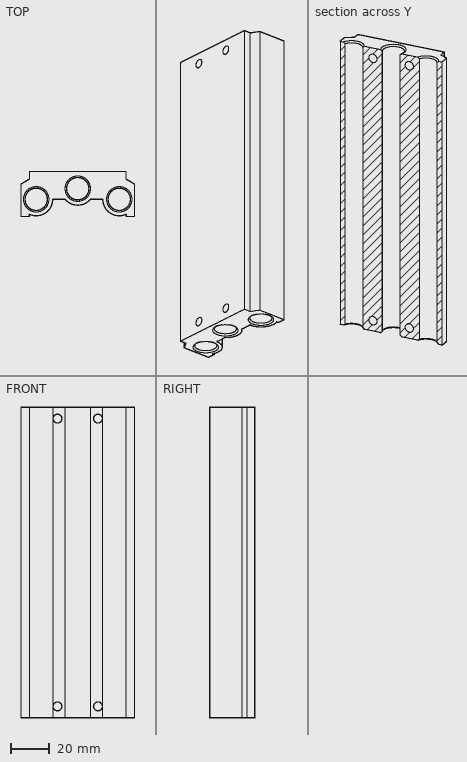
import cadquery as cq
import math

WIDTH = 59.0
DEPTH = 23.5
LENGTH = 161.0

BACK_WIDTH = 50.0
BACK_STEP_DEPTH = 4.0
SLOPE_DEPTH = 2.6
WEB_THICKNESS = 14.5
FOOT_WIDTH = 4.5

BORE_DIAMETER = 11.45
BORE_MOUTH_DIAMETER = 13.16
BORE_SPACING = 21.5
SIDE_BORE_FROM_BACK = 14.5
MIDDLE_BORE_FROM_BACK = 9.0
WALL_RADIUS = 8.6

MOUNT_DIAMETER = 4.5
MOUNT_SPACING = 21.0
MOUNT_FROM_END = 6.0

BACK_Y = DEPTH / 2
FRONT_Y = -DEPTH / 2
WEB_Y = BACK_Y - WEB_THICKNESS
SIDE_BORE_Y = BACK_Y - SIDE_BORE_FROM_BACK
MIDDLE_BORE_Y = BACK_Y - MIDDLE_BORE_FROM_BACK
BORE_CENTERS = [
    (-BORE_SPACING, SIDE_BORE_Y),
    (0, MIDDLE_BORE_Y),
    (BORE_SPACING, SIDE_BORE_Y),
]


def make_body():
    """Extruded section: web, two feet and three round bore walls."""
    half_width = WIDTH / 2
    half_back = BACK_WIDTH / 2
    step_y = BACK_Y - BACK_STEP_DEPTH
    slope_y = step_y - SLOPE_DEPTH
    foot_x = half_width - FOOT_WIDTH
    foot_top_y = SIDE_BORE_Y - math.sqrt(WALL_RADIUS**2 - (foot_x - BORE_SPACING) ** 2)
    side_web_x = BORE_SPACING - math.sqrt(WALL_RADIUS**2 - (SIDE_BORE_Y - WEB_Y) ** 2)
    middle_web_x = math.sqrt(WALL_RADIUS**2 - (MIDDLE_BORE_Y - WEB_Y) ** 2)
    diagonal = WALL_RADIUS * math.sqrt(0.5)
    side_mid = (BORE_SPACING - diagonal, SIDE_BORE_Y - diagonal)
    return (
        cq.Workplane("XY")
        .moveTo(-half_back, BACK_Y)
        .lineTo(half_back, BACK_Y)
        .lineTo(half_back, step_y)
        .lineTo(half_width, slope_y)
        .lineTo(half_width, FRONT_Y)
        .lineTo(foot_x, FRONT_Y)
        .lineTo(foot_x, foot_top_y)
        .threePointArc(side_mid, (side_web_x, WEB_Y))
        .lineTo(middle_web_x, WEB_Y)
        .threePointArc((0, MIDDLE_BORE_Y - WALL_RADIUS), (-middle_web_x, WEB_Y))
        .lineTo(-side_web_x, WEB_Y)
        .threePointArc((-side_mid[0], side_mid[1]), (-foot_x, foot_top_y))
        .lineTo(-foot_x, FRONT_Y)
        .lineTo(-half_width, FRONT_Y)
        .lineTo(-half_width, slope_y)
        .lineTo(-half_back, step_y)
        .close()
        .extrude(LENGTH)
    )


def make_bore_cutter():
    """Through bore with a 45 degree countersink at each end, on the Z axis."""
    bore_radius = BORE_DIAMETER / 2
    mouth_radius = BORE_MOUTH_DIAMETER / 2
    mouth_depth = mouth_radius - bore_radius
    return (
        cq.Workplane("XZ")
        .polyline(
            [
                (0, 0),
                (mouth_radius, 0),
                (bore_radius, mouth_depth),
                (bore_radius, LENGTH - mouth_depth),
                (mouth_radius, LENGTH),
                (0, LENGTH),
            ]
        )
        .close()
        .revolve(360, (0, 0, 0), (0, 1, 0))
    )


def make_mount_cutters():
    """Four round cutters along Y, a pair near each end."""
    return (
        cq.Workplane("XZ", origin=(0, 0, LENGTH / 2))
        .rarray(MOUNT_SPACING, LENGTH - 2 * MOUNT_FROM_END, 2, 2)
        .circle(MOUNT_DIAMETER / 2)
        .extrude(DEPTH / 2, both=True)
    )


result = make_body()
for bore_x, bore_y in BORE_CENTERS:
    result = result.cut(make_bore_cutter().translate((bore_x, bore_y, 0)))
result = result.cut(make_mount_cutters())